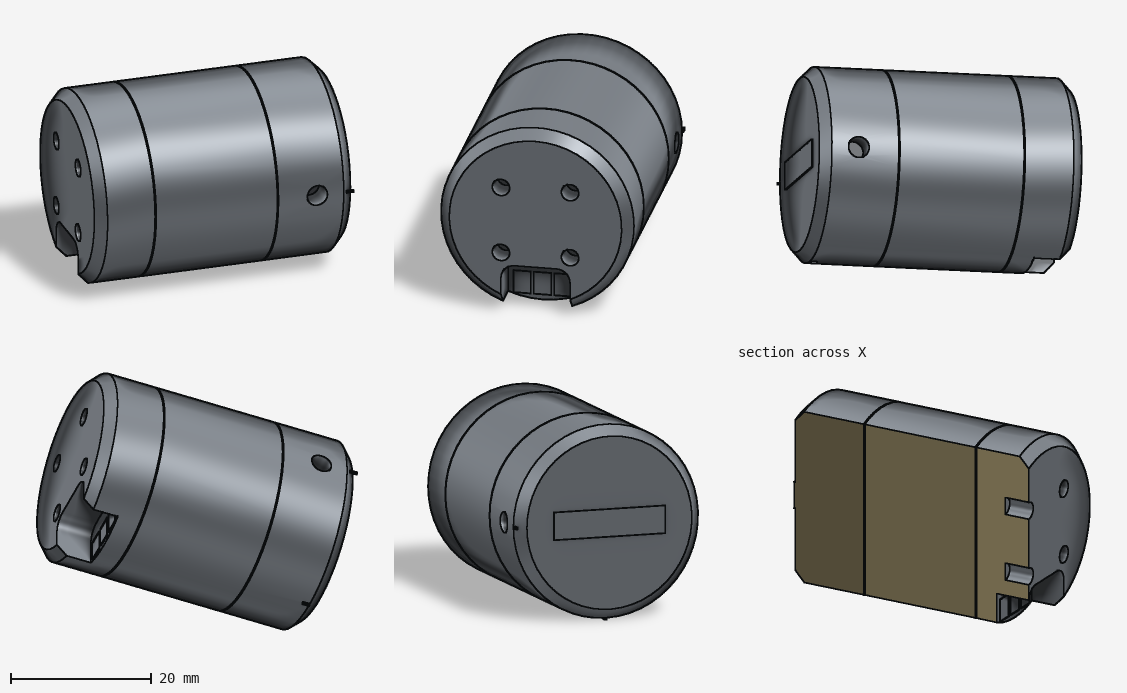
import cadquery as cq

length = 38.5
diameter = 28.0
radius = diameter / 2
chamfer = 1.5
gap = 0.2
sleeve_length = 18.1
front_cap_length = 8.6
panel_height = 0.2

front_y = -length / 2
sleeve_y = front_y + front_cap_length + gap
rear_cap_y = sleeve_y + sleeve_length + gap
rear_face_y = length / 2 - panel_height
rear_cap_length = rear_face_y - rear_cap_y

mount_diameter = 2.5
mount_spacing = 10.0
mount_depth = 3.85

notch_width = 10.0
notch_top_z = -6.9
notch_depth = 5.25
notch_corner_radius = 2.0
contact_width = 2.5
contact_pitch = 2.95
contact_top_z = -9.78
contact_bottom_z = -13.15
contact_height = 0.1

side_hole_diameter = 3.0
side_hole_depth = 3.85
side_hole_y = 13.63

panel_width = 16.8
panel_tall = 4.0

mark_width = 0.27
mark_length = 1.08
ridge_top_z = -radius + 0.4
ridge_bottom_z = -14.25
chip_inner_x = 13.85
chip_outer_x = 14.1


def block(x_range, y_range, z_range):
    """Box given by its lower and upper limit along each axis."""
    sizes = [high - low for low, high in (x_range, y_range, z_range)]
    corner = (x_range[0], y_range[0], z_range[0])
    return cq.Workplane("XY").box(*sizes, centered=False).translate(corner)


def cylinder_along_y(start_y, cylinder_length):
    """Full-diameter cylinder that runs toward +Y."""
    plane = cq.Workplane("XZ", origin=(0, start_y, 0))
    return plane.circle(radius).extrude(-cylinder_length)


def make_notch_cutter():
    """Slot with two rounded upper corners, open at the bottom and the front."""
    cutter = block(
        (-notch_width / 2, notch_width / 2),
        (front_y, front_y + notch_depth),
        (-diameter, notch_top_z),
    )
    return cutter.edges("|Y and >Z").fillet(notch_corner_radius)


def make_front_cap():
    cap = cylinder_along_y(front_y, front_cap_length).faces("<Y").chamfer(chamfer)
    mount_holes = (
        cq.Workplane("XZ", origin=(0, front_y, 0))
        .rect(mount_spacing, mount_spacing, forConstruction=True)
        .vertices()
        .circle(mount_diameter / 2)
        .extrude(-mount_depth)
    )
    cap = cap.cut(mount_holes).cut(make_notch_cutter())
    notch_floor_y = front_y + notch_depth
    for position in (-1, 0, 1):
        center_x = position * contact_pitch
        contact = block(
            (center_x - contact_width / 2, center_x + contact_width / 2),
            (notch_floor_y - contact_height, notch_floor_y),
            (contact_bottom_z, contact_top_z),
        )
        cap = cap.union(contact)
    return cap


def make_sleeve():
    return cylinder_along_y(sleeve_y, sleeve_length)


def make_rear_cap():
    cap = cylinder_along_y(rear_cap_y, rear_cap_length).faces(">Y").chamfer(chamfer)
    for side in (-1, 1):
        side_hole = (
            cq.Workplane("YZ", origin=(side * radius, side_hole_y, 0))
            .circle(side_hole_diameter / 2)
            .extrude(-side * side_hole_depth)
        )
        cap = cap.cut(side_hole)
    panel = block(
        (-panel_width / 2, panel_width / 2),
        (rear_face_y, rear_face_y + panel_height),
        (-panel_tall / 2, panel_tall / 2),
    )
    ridge_end_y = rear_face_y - chamfer
    ridge = block(
        (-mark_width / 2, mark_width / 2),
        (ridge_end_y - mark_length, ridge_end_y),
        (ridge_bottom_z, ridge_top_z),
    )
    return cap.union(panel).union(ridge)


def make_chip():
    return block(
        (chip_inner_x, chip_outer_x),
        (rear_face_y - mark_length, rear_face_y),
        (-mark_width / 2, mark_width / 2),
    )


front_cap = make_front_cap()
sleeve = make_sleeve()
rear_cap = make_rear_cap()
chip = make_chip()

result = cq.Compound.makeCompound([front_cap.val(), sleeve.val(), rear_cap.val(), chip.val()])